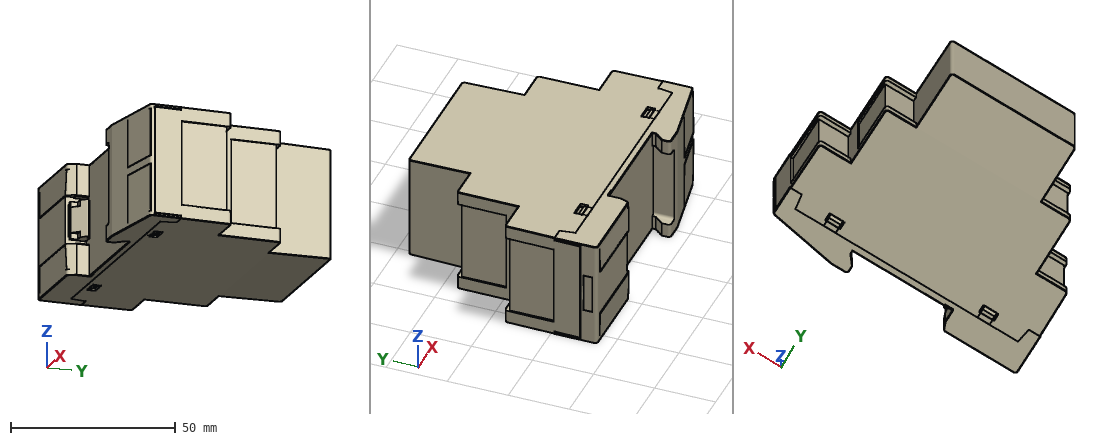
import cadquery as cq
import math


width = 89.86
height = 71.09
depth = 35.8
half_width = width / 2
half_depth = depth / 2
corner_radius = 1.0
pick_tolerance = 0.1
rim_chamfer = 0.2

low_top = 30.75
middle_top = 50.9
low_half_top = 44.5
middle_half_top = 33.2
middle_half_foot = 33.35
upper_half_top = 22.35
upper_half_foot = 22.5
upper_half_depth_top = 17.55

cover_half_length = 13.45
cover_depth = 0.5
cover_top_drop = 1.4
cover_foot_drop = 16.2

seam_y = 9.35
flange_top_y = 14.3
seam_half_bottom = 39.9
seam_half_top = 40.7
flange_inner_z = 17.15
tongue_floor_y = 5.7
joint_gap = 0.25
tongue_bottom_y = tongue_floor_y + joint_gap

low_wall = ((half_width, tongue_bottom_y), (low_half_top, low_top))
middle_wall = ((middle_half_foot, low_top), (middle_half_top, middle_top))
upper_wall = ((upper_half_foot, middle_top), (upper_half_top, height))

window_x = 27.6
window_length = 5.3
window_bottom_y = 11.1
window_top_y = 13.6
window_depth = 0.9
latch_length = 4.3
latch_thickness = 1.0
latch_break_y = 12.3
latch_top_setback = 0.5
latch_recess = 0.3

base_bottom_y = 0.28
rail_y = 7.15
rail_left_x = -17.7
rail_left_kink_y = 3.1
rail_left_foot_x = -18.8
rail_right_x = 18.0
jaw_undercut_y = 6.1
jaw_tip_x = 15.55
jaw_tip_y = 3.1
slope_start_x = 21.5
slope_end_y = 4.45
clip_channel_x = -20.2
clip_channel_half_length = 7.8
guide_rib_thickness = 0.3
guide_rib_end_x = -18.1
guide_rib_bottom_y = 3.0
jaw_relief_x = 18.85
jaw_relief_half_length = 13.1
jaw_relief_radius = 1.0
relief_end_x = -14.85
relief_height = 0.5
relief_depth = 0.15

clip_half_length = 5.95
clip_foot_x = -19.1
clip_foot_y = 1.6
clip_tip_x = -14.85
clip_tip_y = 6.05
clip_nose_x = -15.2
clip_nose_y = clip_foot_y + (clip_nose_x - clip_foot_x)
clip_neck_x = -16.5
clip_neck_top_y = 6.95
clip_notch_x = -16.8
clip_notch_inner_z = 4.1
clip_heel_x = -19.6
clip_heel_half_length = 5.0
clip_heel_bottom_y = 1.2

plate_bottom_y = 1.95
plate_top_y = 4.75
plate_half_length = 6.4
plate_depth = 0.15
pry_top_y = tongue_floor_y
pry_half_length = 3.25

pad_root = 0.8
left_pad_start_x = -42.9
left_pad_inner_z = clip_channel_half_length
left_pad_outer_z = 16.0
left_pad_rise = base_bottom_y
right_pad_start_x = 31.2
right_pad_inner_z = 1.3
right_pad_outer_z = 16.4
right_pad_rise = 0.15
right_pad_margin = 0.2


def box(x0, x1, y0, y1, z0, z1):
    """Block between the given limits."""
    return cq.Workplane("XY").box(x1 - x0, y1 - y0, z1 - z0, centered=False).translate((x0, y0, z0))


def prism(points, half_length):
    """Closed XY outline extruded equally to both sides of Z = 0."""
    return cq.Workplane("XY").polyline(points).close().extrude(half_length, both=True)


def mirrored(points):
    """Outline through the points of the right half and their mirror images."""
    return points + [(-x, y) for x, y in reversed(points)]


def round_corners(body, corners):
    """Round the Z-running edges that pass through the given XY corners."""
    for x, y in corners:
        low_limit = (x - pick_tolerance, y - pick_tolerance, -depth)
        high_limit = (x + pick_tolerance, y + pick_tolerance, depth)
        edge = cq.selectors.BoxSelector(low_limit, high_limit)
        body = body.edges(edge).fillet(corner_radius)
    return body


def wall_x(wall, y):
    """X of a tapered wall, or of its extension, at height y."""
    (foot_x, foot_y), (top_x, top_y) = wall
    return foot_x + (top_x - foot_x) * (y - foot_y) / (top_y - foot_y)


def faces_sideways(face):
    """True for a face that looks mainly along Z."""
    normal = face.normalAt()
    return abs(normal.z) > abs(normal.x) + abs(normal.y)


def chamfer_rim(body, on_rim):
    """Chamfer those outline edges on the two Z sides whose middle satisfies on_rim(x, y)."""
    side_faces = body.faces().filter(faces_sideways)
    rim = side_faces.edges().filter(lambda edge: on_rim(edge.Center().x, edge.Center().y))
    return rim.chamfer(rim_chamfer)


def latch(side_x, side_z, is_slot):
    """Latch tongue at one window, or the straight slot in the housing that holds it."""
    face_z = half_depth - latch_recess
    back_z = face_z - latch_thickness
    top_z = face_z - latch_top_setback
    if is_slot:
        outline = [(seam_y, back_z), (seam_y, face_z), (window_top_y, face_z), (window_top_y, back_z)]
    else:
        outline = [
            (seam_y, back_z),
            (seam_y, face_z),
            (latch_break_y, face_z),
            (window_top_y, top_z),
            (window_top_y, back_z),
        ]
    section = [(y, side_z * z) for y, z in outline]
    start_x = side_x * window_x - latch_length / 2
    return cq.Workplane("YZ", origin=(start_x, 0, 0)).polyline(section).close().extrude(latch_length)


def cover_recess(side_x, tier_top, outer_half, inner_wall):
    """Cut for a terminal cover: lowers the tier's top and sets back its end face."""
    top_y = tier_top - cover_top_drop
    face = outer_half - cover_depth
    return prism(
        [
            (side_x * wall_x(inner_wall, tier_top), tier_top),
            (side_x * wall_x(inner_wall, top_y), top_y),
            (side_x * face, top_y),
            (side_x * face, tier_top - cover_foot_drop),
            (side_x * half_width, tier_top - cover_foot_drop),
            (side_x * half_width, tier_top),
        ],
        cover_half_length,
    )


def make_upper_tier():
    """Top step of the housing, tapered along both X and Z."""
    tier = prism(mirrored([(upper_half_foot, middle_top), (upper_half_top, height)]), half_depth)
    for side_z in (-1, 1):
        taper = [
            (middle_top, side_z * half_depth),
            (height, side_z * half_depth),
            (height, side_z * upper_half_depth_top),
        ]
        tier = tier.cut(cq.Workplane("YZ").polyline(taper).close().extrude(half_width, both=True))
    tier = round_corners(tier, [(-upper_half_top, height), (upper_half_top, height)])
    return chamfer_rim(tier, lambda x, y: y > middle_top + pick_tolerance)


def make_housing():
    """Stepped upper body with cover recesses, end tongues and latch windows."""
    body = prism(
        mirrored(
            [
                (seam_half_bottom, seam_y),
                (seam_half_top, flange_top_y),
                (wall_x(low_wall, flange_top_y), flange_top_y),
                (low_half_top, low_top),
                (middle_half_foot, low_top),
                (middle_half_top, middle_top),
                (upper_half_foot, middle_top),
                (upper_half_top, height),
            ]
        ),
        half_depth,
    )

    lower_tops = ((low_half_top, low_top), (middle_half_top, middle_top))
    body = round_corners(body, [(s * x, y) for s in (-1, 1) for x, y in lower_tops])
    body = chamfer_rim(body, lambda x, y: y > flange_top_y + pick_tolerance)

    body = body.cut(box(-half_width, half_width, middle_top, height, -half_depth, half_depth))
    body = body.union(make_upper_tier())

    for side_x in (-1, 1):
        body = body.cut(cover_recess(side_x, low_top, low_half_top, middle_wall))
        body = body.cut(cover_recess(side_x, middle_top, middle_half_top, upper_wall))

        tongue = prism(
            [
                (side_x * seam_half_bottom, tongue_bottom_y),
                (side_x * half_width, tongue_bottom_y),
                (side_x * wall_x(low_wall, flange_top_y), flange_top_y),
                (side_x * seam_half_bottom, flange_top_y),
            ],
            flange_inner_z - joint_gap,
        )
        body = body.union(tongue)

        for side_z in (-1, 1):
            centre_z = side_z * (half_depth - window_depth / 2)
            window = cq.Workplane("XY").box(window_length, window_top_y - window_bottom_y, window_depth)
            centre_y = (window_bottom_y + window_top_y) / 2
            body = body.cut(window.translate((side_x * window_x, centre_y, centre_z)))
            body = body.cut(latch(side_x, side_z, is_slot=True))
    return body


def make_pad(start, end, inner_z, outer_z, rise, side_z):
    """Label pad along start-end, flush at its outer edge and raised toward mid depth."""
    run_x, run_y = end[0] - start[0], end[1] - start[1]
    plane = cq.Plane(origin=(start[0], start[1], 0), xDir=(0, 0, 1), normal=(run_x, run_y, 0))
    section = [
        (side_z * outer_z, -pad_root),
        (side_z * outer_z, 0),
        (side_z * inner_z, rise),
        (side_z * inner_z, -pad_root),
    ]
    return cq.Workplane(plane).polyline(section).close().extrude(math.hypot(run_x, run_y))


def slope_y(x):
    """Height of the sloped underside at x."""
    gradient = (slope_end_y - base_bottom_y) / (half_width - slope_start_x)
    return base_bottom_y + gradient * (x - slope_start_x)


def make_clip():
    """Rail hook that stands in the clip channel."""
    hook = prism(
        [
            (clip_channel_x, clip_foot_y),
            (clip_foot_x, clip_foot_y),
            (clip_nose_x, clip_nose_y),
            (clip_tip_x, clip_tip_y),
            (clip_neck_x, clip_tip_y),
            (clip_neck_x, clip_neck_top_y),
            (clip_channel_x, clip_neck_top_y),
        ],
        clip_half_length,
    )
    notch_y = clip_foot_y + (clip_notch_x - clip_foot_x)
    for low_z, high_z in ((-clip_half_length, -clip_notch_inner_z), (clip_notch_inner_z, clip_half_length)):
        hook = hook.cut(box(clip_foot_x, clip_notch_x, 0, notch_y, low_z, high_z))
    heel = box(
        clip_channel_x,
        clip_heel_x,
        clip_heel_bottom_y,
        clip_foot_y,
        -clip_heel_half_length,
        clip_heel_half_length,
    )
    return hook.union(heel)


def shape_rail_walls(body):
    """Open the clip channel, the jaw relief and the small end reliefs along the rail."""
    channel = box(clip_channel_x, rail_left_x, 0, rail_y, -clip_channel_half_length, clip_channel_half_length)
    body = body.cut(channel)
    for side_z in (-1, 1):
        outer_z = side_z * clip_channel_half_length
        inner_z = outer_z - side_z * guide_rib_thickness
        low_z = min(inner_z, outer_z)
        high_z = max(inner_z, outer_z)
        rib = box(clip_channel_x, guide_rib_end_x, guide_rib_bottom_y, rail_y, low_z, high_z)
        body = body.union(rib)

    relief = box(jaw_tip_x, jaw_relief_x, 0, rail_y, -jaw_relief_half_length, jaw_relief_half_length)
    body = body.cut(relief.edges(">X and |Y").fillet(jaw_relief_radius))

    for low_z, high_z in ((-half_depth, relief_depth - half_depth), (half_depth - relief_depth, half_depth)):
        body = body.cut(box(rail_left_x, relief_end_x, rail_y, rail_y + relief_height, low_z, high_z))
    return body


def cut_left_end(body):
    """Clip plate recess and pry notch."""
    plate_right_x = plate_depth - half_width
    plate = box(-half_width, plate_right_x, plate_bottom_y, plate_top_y, -plate_half_length, plate_half_length)
    body = body.cut(plate)

    pry_notch = (
        cq.Workplane("XZ", origin=(0, pry_top_y, 0))
        .polyline([(-half_width, -pry_half_length), (plate_right_x, 0), (-half_width, pry_half_length)])
        .close()
        .extrude(pry_top_y - plate_top_y)
    )
    body = body.cut(pry_notch)
    return body


def add_label_pads(body):
    """Two pads under the left foot and two on the sloped underside."""
    left_start = (left_pad_start_x, base_bottom_y)
    left_end = (rail_left_x, base_bottom_y)

    left_wall = ((rail_left_foot_x, base_bottom_y), (rail_left_x, rail_left_kink_y))
    lowest_foot_x = wall_x(left_wall, 0)
    left_limit = prism(
        [
            (-half_width, 0),
            (lowest_foot_x, 0),
            (rail_left_x, rail_left_kink_y),
            (-half_width, rail_left_kink_y),
        ],
        half_depth,
    )
    left_limit = round_corners(left_limit, [(lowest_foot_x, 0)])

    right_start = (right_pad_start_x, slope_y(right_pad_start_x))
    right_end_x = half_width - right_pad_margin
    right_end = (right_end_x, slope_y(right_end_x))
    for side_z in (-1, 1):
        left_pad = make_pad(left_start, left_end, left_pad_inner_z, left_pad_outer_z, left_pad_rise, side_z)
        right_pad = make_pad(right_start, right_end, right_pad_inner_z, right_pad_outer_z, right_pad_rise, side_z)
        body = body.union(left_pad.intersect(left_limit)).union(right_pad)
    return body


def make_base():
    """Lower body with the rail channel, clip, corner flanges and snap latches."""
    outline = [
        (-half_width, flange_top_y),
        (-half_width, base_bottom_y),
        (rail_left_foot_x, base_bottom_y),
        (rail_left_x, rail_left_kink_y),
        (rail_left_x, rail_y),
        (rail_right_x, rail_y),
        (rail_right_x, jaw_undercut_y),
        (jaw_tip_x, jaw_tip_y),
        (jaw_tip_x, base_bottom_y),
        (slope_start_x, base_bottom_y),
        (half_width, slope_end_y),
        (half_width, flange_top_y),
        (seam_half_top, flange_top_y),
        (seam_half_bottom, seam_y),
        (-seam_half_bottom, seam_y),
        (-seam_half_top, flange_top_y),
    ]
    body = prism(outline, half_depth)
    body = round_corners(
        body,
        [
            (-half_width, base_bottom_y),
            (rail_left_foot_x, base_bottom_y),
            (jaw_tip_x, base_bottom_y),
            (half_width, slope_end_y),
        ],
    )
    body = chamfer_rim(body, lambda x, y: y < seam_y - pick_tolerance)

    for low_x, high_x in ((-half_width, -seam_half_bottom), (seam_half_bottom, half_width)):
        body = body.cut(box(low_x, high_x, tongue_floor_y, flange_top_y, -flange_inner_z, flange_inner_z))

    body = shape_rail_walls(body)
    body = cut_left_end(body)
    body = body.union(make_clip())
    body = add_label_pads(body)
    for side_x in (-1, 1):
        for side_z in (-1, 1):
            body = body.union(latch(side_x, side_z, is_slot=False))
    return body


housing = make_housing()
base = make_base()
result = cq.Compound.makeCompound([housing.solids().val(), base.solids().val()])